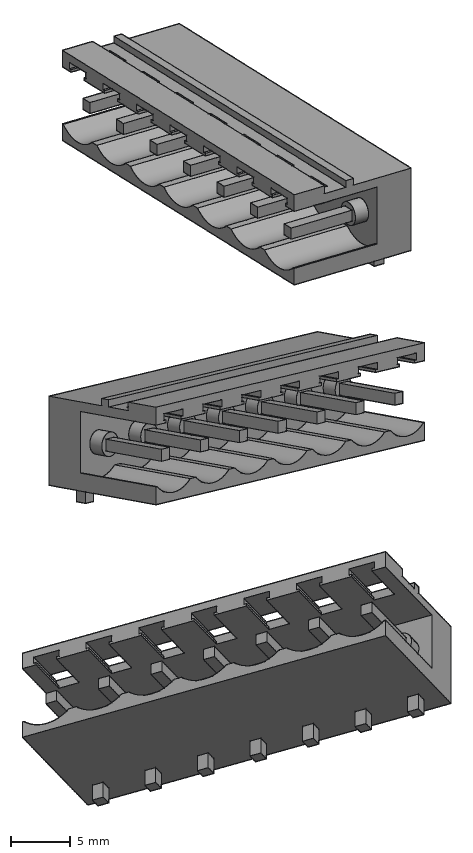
import cadquery as cq

length = 34.6
depth = 12.0
height = 8.45

pin_count = 7
end_margin = 2.3
pin_axis_height = 3.88
pin_side = 1.05
pin_tip = 0.9
tail_back_inset = 1.55
tail_length = 1.5

back_wall = 3.53
crest_height = 1.55
roof_underside = 6.9
roof_top = 7.7

lip_depth = 3.1
rib_front = 5.3
rib_width = 0.8
rib_top = 8.35

scallop_radius = 3.15

slot_depth = 4.15
slot_width = 2.42
slot_mouth_width = 1.95
slot_ledge_height = 7.13

collar_diameter = 2.1
collar_length = 1.35

wall_front = depth - back_wall
tail_rear = depth - tail_back_inset
pin_half = pin_side / 2
pin_pitch = (length - 2 * end_margin) / (pin_count - 1)
pin_positions = [(i - (pin_count - 1) / 2) * pin_pitch for i in range(pin_count)]


def box(x_center, width, y_range, z_range):
    """Box centred on x_center, spanning the given Y and Z ranges."""
    y_min, y_max = y_range
    z_min, z_max = z_range
    block = cq.Workplane("XY").box(width, y_max - y_min, z_max - z_min, centered=(True, False, False))
    return block.translate((x_center, y_min, z_min))


def cylinder_along_y(x, diameter, y_range):
    """Cylinder on a contact axis, spanning the given Y range."""
    y_min, y_max = y_range
    plane = cq.Workplane("XZ", origin=(x, y_max, pin_axis_height))
    return plane.circle(diameter / 2).extrude(y_max - y_min)


def make_pin(x):
    """Angled contact: a square bar forward from the wall and a tail down through the floor."""
    bar = box(x, pin_side, (pin_tip, tail_rear), (pin_axis_height - pin_half, pin_axis_height + pin_half))
    tail = box(x, pin_side, (tail_rear - pin_side, tail_rear), (-tail_length, pin_axis_height + pin_half))
    return bar.union(tail)


def make_scallop(x):
    """Lower half of a cylinder around the contact, hollowing the floor."""
    cylinder = cylinder_along_y(x, 2 * scallop_radius, (0, wall_front))
    lower_half = box(x, 2 * scallop_radius, (0, wall_front), (0, pin_axis_height))
    return cylinder.intersect(lower_half)


def make_slot(x):
    """Keying slot through the roof: wide above a pair of ledges, narrower at the mouth."""
    wide = box(x, slot_width, (0, slot_depth), (slot_ledge_height, roof_top))
    mouth = box(x, slot_mouth_width, (0, slot_depth), (roof_underside, roof_top))
    return wide.union(mouth)


def make_housing():
    """C-shaped shell with scalloped floor, collars, keying slots and contact passages."""
    shell = box(0, length, (0, depth), (0, roof_top))
    shell = shell.union(box(0, length, (0, lip_depth), (roof_top, height)))
    shell = shell.union(box(0, length, (rib_front, rib_front + rib_width), (roof_top, rib_top)))
    shell = shell.cut(box(0, length, (0, wall_front), (crest_height, roof_underside)))
    for x in pin_positions:
        shell = shell.cut(make_scallop(x))
    for x in pin_positions:
        shell = shell.union(cylinder_along_y(x, collar_diameter, (wall_front - collar_length, wall_front)))
        shell = shell.cut(make_slot(x))
        shell = shell.cut(make_pin(x))
    return shell


housing = make_housing()
pins = [make_pin(x) for x in pin_positions]

result = cq.Compound.makeCompound([housing.val(), *[pin.val() for pin in pins]])